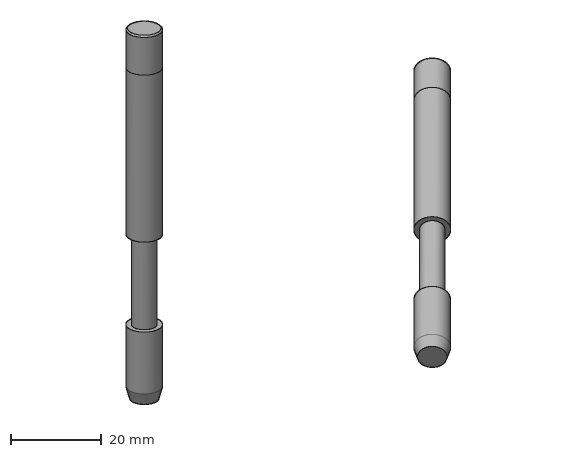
import cadquery as cq

total_length = 90.0
outer_diameter = 8.1
neck_diameter = 5.7
cap_length = 9.5
cap_chamfer = 0.4
barrel_bottom = 39.9
head_top = 18.0
tip_length = 3.0
tip_end_diameter = 6.5

outer_radius = outer_diameter / 2
neck_radius = neck_diameter / 2
tip_end_radius = tip_end_diameter / 2
cap_bottom = total_length - cap_length


def make_shaft():
    """Turned shaft: tapered tip, head, slim neck and barrel."""
    half_profile = [
        (0, 0),
        (tip_end_radius, 0),
        (outer_radius, tip_length),
        (outer_radius, head_top),
        (neck_radius, head_top),
        (neck_radius, barrel_bottom),
        (outer_radius, barrel_bottom),
        (outer_radius, cap_bottom),
        (0, cap_bottom),
    ]
    return cq.Workplane("XZ").polyline(half_profile).close().revolve(360, (0, 0), (0, 1))


def make_cap():
    """Cylindrical cap on the end of the barrel, with a chamfered top rim."""
    return (
        cq.Workplane("XY", origin=(0, 0, cap_bottom))
        .circle(outer_radius)
        .extrude(cap_length)
        .faces(">Z")
        .edges()
        .chamfer(cap_chamfer)
    )


shaft = make_shaft()
cap = make_cap()

result = cq.Compound.makeCompound([shaft.val(), cap.val()])